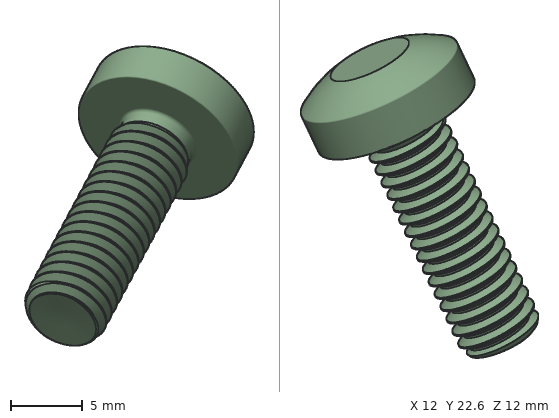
import cadquery as cq
import math


HEAD_RADIUS = 6.0
HEAD_HEIGHT = 4.6
HEAD_RIM_HEIGHT = 3.04
HEAD_FLAT_RADIUS = 3.0
HEAD_EDGE_FILLET = 0.1

SHANK_LENGTH = 18.0
NECK_LENGTH = 1.05
NECK_RADIUS = 2.675
NECK_FILLET = 0.25

PITCH = 1.0
MAJOR_RADIUS = 3.0
FLANK_ANGLE = math.radians(30)
SHARP_HEIGHT = PITCH / (2 * math.tan(FLANK_ANGLE))
THREAD_DEPTH = 17 / 24 * SHARP_HEIGHT
ROOT_RADIUS = MAJOR_RADIUS - THREAD_DEPTH
CREST_WIDTH = PITCH / 8
GROOVE_OVERSHOOT = 0.05
GROOVE_OVERRUN = 1.5 * PITCH
BAR_OVERRUN = 3 * PITCH

TAPER_ANGLE = math.radians(30)
TIP_RADIUS = 2.62

DISH_RADIUS = 2.44
DISH_DEPTH = 0.1

TURN_TIP_TO_MINUS_Y = 90


def cone_length(small_radius, large_radius):
    """Axial length of an end cone between two radii."""
    return (large_radius - small_radius) / math.tan(TAPER_ANGLE)


def dome_radius():
    """Radius of a sphere centred on the axis through the rim and the edge of the top flat."""
    rise = HEAD_HEIGHT - HEAD_RIM_HEIGHT
    centre_below_rim = (HEAD_RADIUS**2 - HEAD_FLAT_RADIUS**2 - rise**2) / (2 * rise)
    return math.hypot(HEAD_RADIUS, centre_below_rim)


def revolve_about_axis(profile):
    """Close a half profile drawn in the XZ plane and turn it about the screw axis."""
    return profile.close().revolve(360, (0, 0, 0), (0, 1, 0))


def make_head():
    """Cylindrical rim with a domed, flat-ended top; both edges of the rim are slightly rounded."""
    head = revolve_about_axis(
        cq.Workplane("XZ")
        .lineTo(HEAD_RADIUS, 0)
        .lineTo(HEAD_RADIUS, -HEAD_RIM_HEIGHT)
        .radiusArc((HEAD_FLAT_RADIUS, -HEAD_HEIGHT), dome_radius())
        .lineTo(0, -HEAD_HEIGHT)
    )
    for rim_edge_z in (0, -HEAD_RIM_HEIGHT):
        rim_edge = cq.NearestToPointSelector((0, 0, rim_edge_z))
        head = head.edges(rim_edge).fillet(HEAD_EDGE_FILLET)
    return head


def make_core():
    """Neck with a fillet under the head, tapering down to the thread root."""
    root_start = NECK_LENGTH + cone_length(ROOT_RADIUS, NECK_RADIUS)
    return revolve_about_axis(
        cq.Workplane("XZ")
        .lineTo(NECK_RADIUS + NECK_FILLET, 0)
        .radiusArc((NECK_RADIUS, NECK_FILLET), NECK_FILLET)
        .lineTo(NECK_RADIUS, NECK_LENGTH)
        .lineTo(ROOT_RADIUS, root_start)
        .lineTo(0, root_start)
    )


def make_thread_envelope():
    """Solid that limits the thread: a cone from the neck, the major cylinder and the dished tip."""
    return revolve_about_axis(
        cq.Workplane("XZ")
        .moveTo(0, NECK_LENGTH)
        .lineTo(NECK_RADIUS, NECK_LENGTH)
        .lineTo(MAJOR_RADIUS, NECK_LENGTH + cone_length(NECK_RADIUS, MAJOR_RADIUS))
        .lineTo(MAJOR_RADIUS, SHANK_LENGTH - cone_length(TIP_RADIUS, MAJOR_RADIUS))
        .lineTo(TIP_RADIUS, SHANK_LENGTH)
        .lineTo(DISH_RADIUS, SHANK_LENGTH)
        .lineTo(0, SHANK_LENGTH - DISH_DEPTH)
    )


def groove_half_width(radius):
    """Half the axial width of the thread groove at a radius on its flanks."""
    return (PITCH - CREST_WIDTH) / 2 - (MAJOR_RADIUS - radius) * math.tan(FLANK_ANGLE)


def make_groove():
    """Helical groove, overrunning both ends of the thread; a crest meets +X at the end of the neck."""
    start = NECK_LENGTH - GROOVE_OVERRUN
    height = SHANK_LENGTH + GROOVE_OVERRUN - start
    outer_radius = MAJOR_RADIUS + GROOVE_OVERSHOOT
    half_root = groove_half_width(ROOT_RADIUS)
    half_mouth = groove_half_width(outer_radius)
    helix = cq.Wire.makeHelix(PITCH, height, ROOT_RADIUS, center=cq.Vector(0, 0, start))
    return (
        cq.Workplane("XZ")
        .moveTo(ROOT_RADIUS, start - half_root)
        .lineTo(outer_radius, start - half_mouth)
        .lineTo(outer_radius, start + half_mouth)
        .lineTo(ROOT_RADIUS, start + half_root)
        .close()
        .sweep(cq.Workplane(helix), isFrenet=True)
    )


def make_thread():
    """Grooved bar, longer than the shank at both ends, trimmed to the thread envelope."""
    bar_length = SHANK_LENGTH + 2 * BAR_OVERRUN
    bar = cq.Workplane("XY").workplane(offset=-BAR_OVERRUN).circle(MAJOR_RADIUS).extrude(bar_length)
    return bar.cut(make_groove()).intersect(make_thread_envelope())


screw = make_head().union(make_core()).union(make_thread())
result = screw.rotate((0, 0, 0), (1, 0, 0), TURN_TIP_TO_MINUS_Y)